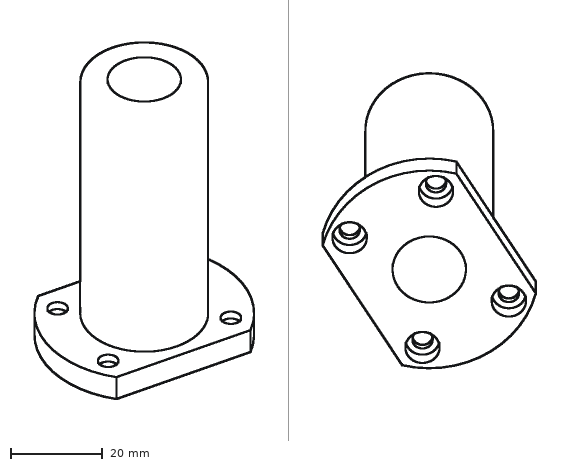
import cadquery as cq
import math

total_height = 70.0
body_diameter = 28.0
bore_diameter = 16.0
top_edge_radius = 0.85
flange_diameter = 48.0
flange_width = 34.0
flange_thickness = 6.0

screw_hole_diameter = 4.5
screw_head_diameter = 7.5
screw_head_depth = 4.1
bolt_circle_diameter = 38.0
bolt_angle = 54.7


def make_flange():
    """Round flange with two flats facing -X and +X."""
    disc = cq.Workplane("XY").circle(flange_diameter / 2).extrude(flange_thickness)
    flats = cq.Workplane("XY").rect(flange_width, flange_diameter).extrude(flange_thickness)
    return disc.intersect(flats)


def make_body():
    """Cylindrical sleeve with a rounded top edge."""
    cylinder = cq.Workplane("XY").circle(body_diameter / 2).extrude(total_height)
    return cylinder.faces(">Z").edges().fillet(top_edge_radius)


def make_screw_cuts():
    """Four through holes, counterbored from the underside of the flange."""
    x = bolt_circle_diameter / 2 * math.cos(math.radians(bolt_angle))
    y = bolt_circle_diameter / 2 * math.sin(math.radians(bolt_angle))
    places = cq.Workplane("XY").rect(2 * x, 2 * y, forConstruction=True).vertices()
    holes = places.circle(screw_hole_diameter / 2).extrude(flange_thickness)
    heads = places.circle(screw_head_diameter / 2).extrude(screw_head_depth)
    return holes.union(heads)


bore = cq.Workplane("XY").circle(bore_diameter / 2).extrude(total_height)
result = make_flange().cut(make_screw_cuts()).union(make_body()).cut(bore)